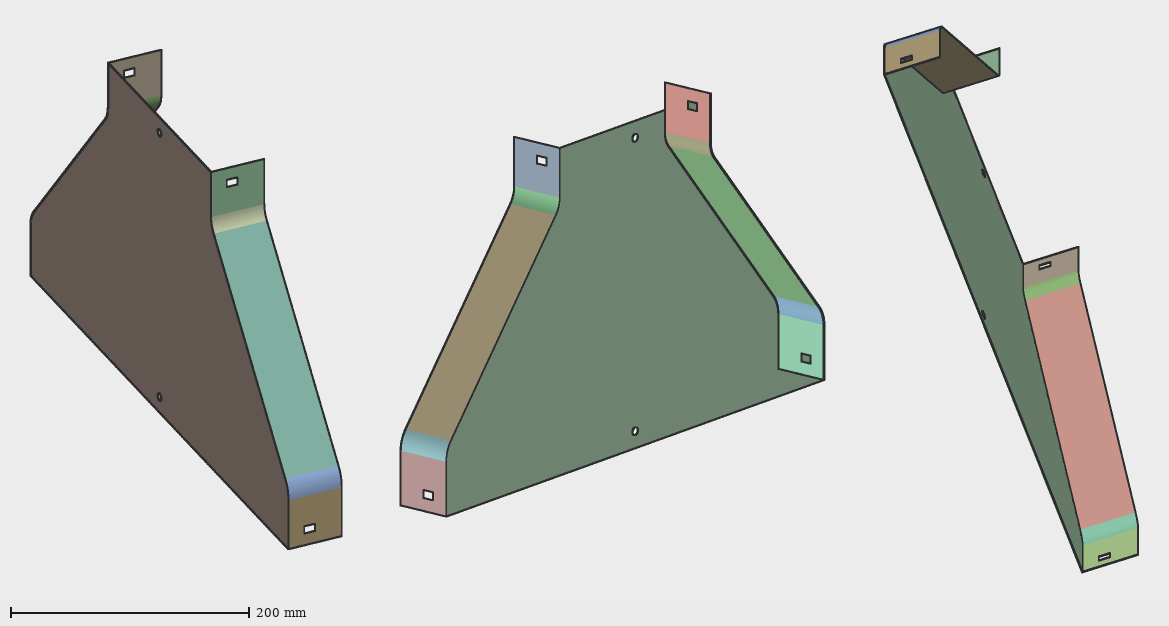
import cadquery as cq

base_width = 500.0
neck_width = 200.0
height = 288.0
depth = 50.0
sheet = 0.8

lower_bend_height = 58.0
upper_bend_height = 236.5
lower_bend_radius = 27.5
upper_bend_radius = 21.0

hole_inset = 15.0
panel_hole_diameter = 7.0
slot_length = 10.0
slot_height = 7.0
slot_offset = 20.0

hole_heights = (hole_inset, height - hole_inset)


def make_blank():
    """Solid funnel-shaped block with rounded bends, panel face on Y = 0."""
    half_base = base_width / 2
    half_neck = neck_width / 2
    block = (
        cq.Workplane("XZ")
        .polyline([
            (-half_base, 0),
            (half_base, 0),
            (half_base, lower_bend_height),
            (half_neck, upper_bend_height),
            (half_neck, height),
            (-half_neck, height),
            (-half_neck, upper_bend_height),
            (-half_base, lower_bend_height),
        ])
        .close()
        .extrude(-depth)
    )
    for bend_height, radius in (
        (lower_bend_height, lower_bend_radius),
        (upper_bend_height, upper_bend_radius),
    ):
        bend_zone = cq.selectors.BoxSelector(
            (-base_width, -depth, bend_height - sheet),
            (base_width, 2 * depth, bend_height + sheet),
        )
        block = block.edges("|Y").edges(bend_zone).fillet(radius)
    return block


def make_shell(block):
    """Keep the front panel and side flanges; leave top, bottom and back open."""
    return block.faces(">Z or <Z or >Y").shell(-sheet)


def cut_holes(body):
    """Round holes through the panel and rectangular slots through both flanges."""
    for z in hole_heights:
        panel_hole = (
            cq.Workplane("XZ")
            .center(0, z)
            .circle(panel_hole_diameter / 2)
            .extrude(-2 * sheet)
        )
        flange_slots = cq.Workplane("XY").box(base_width, slot_length, slot_height)
        flange_slots = flange_slots.translate((0, slot_offset, z))
        body = body.cut(panel_hole).cut(flange_slots)
    return body


result = cut_holes(make_shell(make_blank()))